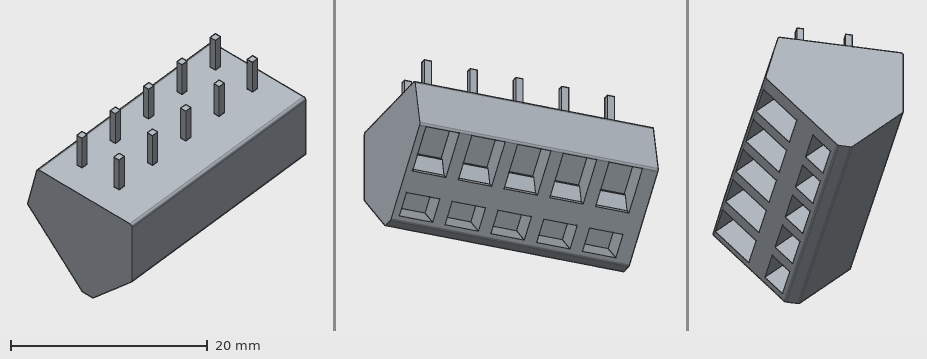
import cadquery as cq
import math

LENGTH = 26.4
WIDTH = 14.28
HOUSING_HEIGHT = 13.0
TOP_SETBACK = 1.32
NOSE_HEIGHT = 7.5
FOOT_END = 8.92
EDGE_RADIUS = 0.32

CONTACT_COUNT = 5
CONTACT_PITCH = 5.07
CONTACT_SHIFT = 0.5
PIN_FIRST_X = 4.22
PIN_PITCH_X = 5.07
PIN_SIZE_X = 0.7
PIN_SIZE_Y = 0.8
PIN_HEIGHT = 4.0

POCKET_WIDTH = 3.7
POCKET_DEPTH = 2.77
WIRE_LOW_Z = 3.9
WIRE_HIGH_Z = 7.37
WIRE_LIP_RISE = 0.48
WIRE_TAPER_RISE = 1.98
WIRE_TAPER_LEAN = math.radians(12.8)
RELEASE_LOW_Z = 0.42
RELEASE_HIGH_Z = 2.25
RELEASE_SHIFT = 0.45
MOUTH_OVERRUN = 0.26

side_lean = math.atan2(TOP_SETBACK, HOUSING_HEIGHT - NOSE_HEIGHT)
half_turn = (math.pi / 4 + side_lean) / 2
nose_bisector = math.pi / 4 - half_turn
nose_x = -EDGE_RADIUS * (math.cos(nose_bisector) / math.cos(half_turn) - 1)


def slope_x(z):
    """X of the front slope at height z."""
    return nose_x + NOSE_HEIGHT - z


def shifted(point, rise, run):
    """Move an (x, z) point up by rise and along X by run."""
    return (point[0] + run, point[1] + rise)


def contact_ys(shift):
    """Y of each contact in a row shifted off the middle of the housing."""
    middle = (CONTACT_COUNT - 1) / 2
    return [shift + (i - middle) * CONTACT_PITCH for i in range(CONTACT_COUNT)]


def prism(outline, width, y):
    """Extrude an XZ outline along Y, centred on y."""
    return cq.Workplane("XZ", origin=(0, y, 0)).polyline(outline).close().extrude(width / 2, both=True)


def make_housing():
    outline = [
        (nose_x, NOSE_HEIGHT),
        (slope_x(0), 0),
        (FOOT_END, 0),
        (WIDTH, WIDTH - FOOT_END),
        (WIDTH, HOUSING_HEIGHT),
        (nose_x + TOP_SETBACK, HOUSING_HEIGHT),
    ]
    return prism(outline, LENGTH, 0).edges("|Y").fillet(EDGE_RADIUS)


def mouth_points(low_z, high_z):
    """Lower and upper corner of a pocket mouth on the front slope."""
    return (slope_x(low_z), low_z), (slope_x(high_z), high_z)


def wire_pocket_outline():
    low, high = mouth_points(WIRE_LOW_Z, WIRE_HIGH_Z)
    inset = POCKET_DEPTH / math.sqrt(2)
    taper_run = WIRE_TAPER_RISE * math.tan(WIRE_TAPER_LEAN)
    lip_end = shifted(low, WIRE_LIP_RISE, WIRE_LIP_RISE)
    taper_end = shifted(lip_end, WIRE_TAPER_RISE, taper_run)
    throat = inset - WIRE_LIP_RISE - (WIRE_TAPER_RISE + taper_run) / 2
    return [
        shifted(low, -MOUTH_OVERRUN, -MOUTH_OVERRUN),
        lip_end,
        taper_end,
        shifted(taper_end, throat, throat),
        shifted(high, inset, inset),
        shifted(high, -MOUTH_OVERRUN, -MOUTH_OVERRUN),
    ]


def release_pocket_outline():
    low, high = mouth_points(RELEASE_LOW_Z, RELEASE_HIGH_Z)
    inset = POCKET_DEPTH / math.sqrt(2)
    return [
        shifted(low, -MOUTH_OVERRUN, -MOUTH_OVERRUN),
        shifted(low, inset, inset),
        shifted(high, inset, inset),
        shifted(high, -MOUTH_OVERRUN, -MOUTH_OVERRUN),
    ]


def make_pins():
    columns = [PIN_FIRST_X, PIN_FIRST_X + PIN_PITCH_X]
    centres = [(x, y) for x in columns for y in contact_ys(CONTACT_SHIFT)]
    top_face = cq.Workplane("XY", origin=(0, 0, HOUSING_HEIGHT))
    return top_face.pushPoints(centres).rect(PIN_SIZE_X, PIN_SIZE_Y).extrude(PIN_HEIGHT)


result = make_housing()
for y in contact_ys(CONTACT_SHIFT):
    result = result.cut(prism(wire_pocket_outline(), POCKET_WIDTH, y))
for y in contact_ys(RELEASE_SHIFT):
    result = result.cut(prism(release_pocket_outline(), POCKET_WIDTH, y))
result = result.union(make_pins())